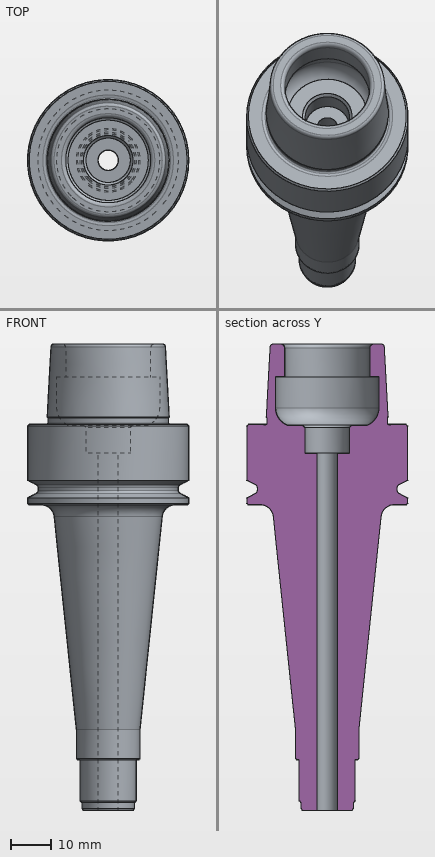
import cadquery as cq
import math

length = 115.5

pilot_diameter = 13.0
pilot_length = 2.1
pilot_chamfer_width = 0.3
pilot_chamfer_height = 0.6
nose_diameter = 14.0
nose_top = 12.6
edge_chamfer = 0.3

collar_diameter = 15.8
collar_top = 20.1
neck_top_diameter = 26.8
neck_top = 72.8

flange_diameter = 40.0
flange_bottom = 75.7
flange_height = 20.0
flange_bottom_chamfer = 0.3
flange_top_chamfer = 0.5
flare_top_diameter = 33.3
groove_diameter = 34.8
groove_middle = 79.6
groove_floor_width = 0.7
groove_corner_radius = 0.8
groove_flank_angle = math.radians(27)

recess_top_diameter = 32.3
recess_floor_diameter = 30.8
recess_depth = 0.14

relief_diameter = 29.9
shank_bottom = 97.4
shank_bottom_diameter = 30.3
shank_top_diameter = 28.3
shank_rim_fillet = 0.8

mouth_diameter = 21.0
mouth_fillet = 1.0
mouth_depth = 8.2
chamber_diameter = 25.5
chamber_wall_depth = 15.8
chamber_floor_diameter = 19.9
chamber_corner_radius = 4.6

counterbore_diameter = 11.0
counterbore_rim_diameter = 12.2
counterbore_depth = 6.9
through_hole_diameter = 5.0


def solid_of_revolution(profile):
    return profile.close().revolve(360, (0, 0, 0), (0, 1, 0))


def body():
    """Solid outside shape, drawn upward from the nose as (radius, Z)."""
    pilot_radius = pilot_diameter / 2
    nose_radius = nose_diameter / 2
    collar_radius = collar_diameter / 2
    flange_radius = flange_diameter / 2
    groove_radius = groove_diameter / 2
    relief_radius = relief_diameter / 2
    flange_top = flange_bottom + flange_height

    corner_rise = groove_corner_radius * math.cos(groove_flank_angle)
    corner_run = groove_corner_radius * (1 - math.sin(groove_flank_angle))
    floor_low = groove_middle - groove_floor_width / 2
    floor_high = groove_middle + groove_floor_width / 2
    flank_foot_radius = groove_radius + corner_run
    flank_foot_low = floor_low - corner_rise
    flank_foot_high = floor_high + corner_rise
    flank_height = (flange_radius - flank_foot_radius) * math.tan(groove_flank_angle)
    recess_floor = flange_top - recess_depth
    relief_fillet = recess_floor_diameter / 2 - relief_radius
    relief_chamfer = shank_bottom_diameter / 2 - relief_radius

    profile = (
        cq.Workplane("XZ")
        .moveTo(0, 0)
        .lineTo(pilot_radius - pilot_chamfer_width, 0)
        .lineTo(pilot_radius, pilot_chamfer_height)
        .lineTo(pilot_radius, pilot_length)
        .lineTo(nose_radius - edge_chamfer, pilot_length)
        .lineTo(nose_radius, pilot_length + edge_chamfer)
        .lineTo(nose_radius, nose_top)
        .lineTo(collar_radius - edge_chamfer, nose_top)
        .lineTo(collar_radius, nose_top + edge_chamfer)
        .lineTo(collar_radius, collar_top)
        .lineTo(neck_top_diameter / 2, neck_top)
        .tangentArcPoint((flare_top_diameter / 2, flange_bottom), relative=False)
        .lineTo(flange_radius - flange_bottom_chamfer, flange_bottom)
        .lineTo(flange_radius, flange_bottom + flange_bottom_chamfer)
        .lineTo(flange_radius, flank_foot_low - flank_height)
        .lineTo(flank_foot_radius, flank_foot_low)
        .radiusArc((groove_radius, floor_low), groove_corner_radius)
        .lineTo(groove_radius, floor_high)
        .radiusArc((flank_foot_radius, flank_foot_high), groove_corner_radius)
        .lineTo(flange_radius, flank_foot_high + flank_height)
        .lineTo(flange_radius, flange_top - flange_top_chamfer)
        .lineTo(flange_radius - flange_top_chamfer, flange_top)
        .lineTo(recess_top_diameter / 2, flange_top)
        .lineTo(recess_floor_diameter / 2, recess_floor)
        .radiusArc((relief_radius, recess_floor + relief_fillet), relief_fillet)
        .lineTo(relief_radius, shank_bottom - relief_chamfer)
        .lineTo(shank_bottom_diameter / 2, shank_bottom)
        .lineTo(shank_top_diameter / 2, length)
        .lineTo(0, length)
    )
    return solid_of_revolution(profile).faces(">Z").edges().fillet(shank_rim_fillet)


def cavity():
    """Shank cavity, counterbore and through hole as one tool, drawn downward."""
    mouth_radius = mouth_diameter / 2
    chamber_radius = chamber_diameter / 2
    chamber_floor_radius = chamber_floor_diameter / 2
    counterbore_radius = counterbore_diameter / 2
    counterbore_rim_radius = counterbore_rim_diameter / 2
    through_radius = through_hole_diameter / 2

    mouth_bottom = length - mouth_depth
    chamber_wall_bottom = length - chamber_wall_depth
    corner_centre_radius = chamber_radius - chamber_corner_radius
    corner_height = math.sqrt(
        chamber_corner_radius**2 - (chamber_floor_radius - corner_centre_radius) ** 2
    )
    chamber_floor = chamber_wall_bottom - corner_height
    counterbore_chamfer = counterbore_rim_radius - counterbore_radius
    counterbore_floor = chamber_floor - counterbore_depth

    profile = (
        cq.Workplane("XZ")
        .moveTo(0, length)
        .lineTo(mouth_radius + mouth_fillet, length)
        .radiusArc((mouth_radius, length - mouth_fillet), -mouth_fillet)
        .lineTo(mouth_radius, mouth_bottom)
        .lineTo(chamber_radius, mouth_bottom)
        .lineTo(chamber_radius, chamber_wall_bottom)
        .radiusArc((chamber_floor_radius, chamber_floor), chamber_corner_radius)
        .lineTo(counterbore_rim_radius, chamber_floor)
        .lineTo(counterbore_radius, chamber_floor - counterbore_chamfer)
        .lineTo(counterbore_radius, counterbore_floor)
        .lineTo(through_radius, counterbore_floor)
        .lineTo(through_radius, 0)
        .lineTo(0, 0)
    )
    return solid_of_revolution(profile)


result = body().cut(cavity())